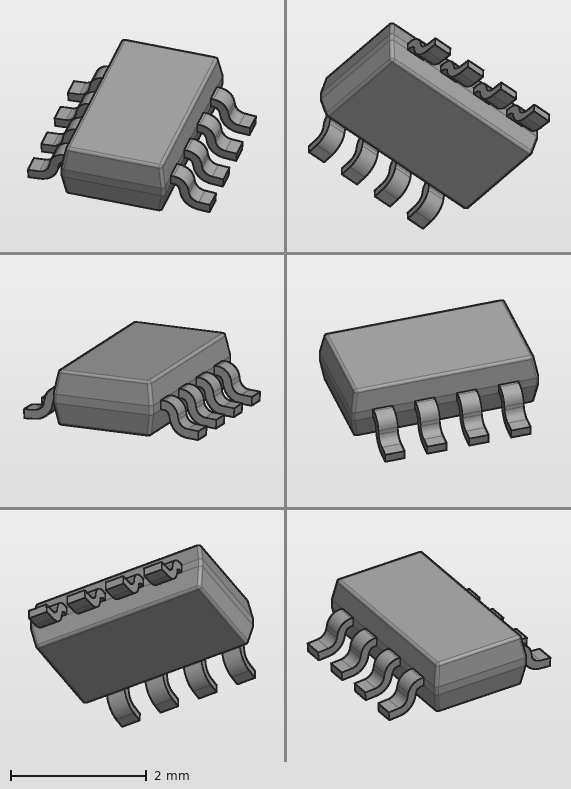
import cadquery as cq
import math

BODY_LENGTH = 2.9
BODY_WIDTH = 1.6
BAND_HEIGHT = 0.14
HALF_HEIGHT = 0.357
DRAFT_ANGLE = 10.0
EDGE_RADIUS = 0.05

LEADS_PER_SIDE = 4
LEAD_PITCH = 0.65
LEAD_WIDTH = 0.3
LEAD_THICKNESS = BAND_HEIGHT
LEAD_SPAN = 2.82
STUB_LENGTH = 0.038
LEG_SLOPE = math.radians(80)
FOOT_SLOPE = math.radians(4)
SHOULDER_RADIUS = 0.1
ANKLE_RADIUS = 0.162
LEG_LENGTH = 0.06


def drafted_half():
    """The sharp-edged half of the body above the band."""
    return (
        cq.Workplane("XY", origin=(0, 0, BAND_HEIGHT / 2))
        .rect(BODY_WIDTH, BODY_LENGTH)
        .extrude(HALF_HEIGHT, taper=DRAFT_ANGLE)
    )


def make_body():
    """Band and two drafted halves in one solid, with upright corners and both rims rounded."""
    band = cq.Workplane("XY").box(BODY_WIDTH, BODY_LENGTH, BAND_HEIGHT)
    body = band.union(drafted_half()).union(drafted_half().mirror("XY"))
    body = body.edges("not(#Z)").fillet(EDGE_RADIUS)
    return body.faces("<Z or >Z").edges().fillet(EDGE_RADIUS)


def ahead(point, slope, distance):
    """Point reached by going outward along a line that falls at the given slope."""
    return (point[0] + distance * math.cos(slope), point[1] - distance * math.sin(slope))


def around(centre, radius, slope):
    """Point on a circle where a line falling at the given slope touches its upper side."""
    return (centre[0] + radius * math.sin(slope), centre[1] + radius * math.cos(slope))


def make_lead(y):
    """One lead on the +X side, centred on y: a strip swept along its centreline in XZ."""
    shoulder = SHOULDER_RADIUS + LEAD_THICKNESS / 2
    ankle = ANKLE_RADIUS + LEAD_THICKNESS / 2

    root = (BODY_WIDTH / 2, 0)
    stub_end = (BODY_WIDTH / 2 + STUB_LENGTH, 0)
    shoulder_centre = (stub_end[0], -shoulder)
    leg_top = around(shoulder_centre, shoulder, LEG_SLOPE)
    leg_bottom = ahead(leg_top, LEG_SLOPE, LEG_LENGTH)
    ankle_centre = around(leg_bottom, ankle, LEG_SLOPE)
    foot_start = around(ankle_centre, -ankle, FOOT_SLOPE)
    toe_x = LEAD_SPAN / 2 - LEAD_THICKNESS / 2 * math.sin(FOOT_SLOPE)
    toe = ahead(foot_start, FOOT_SLOPE, (toe_x - foot_start[0]) / math.cos(FOOT_SLOPE))

    centreline = (
        cq.Workplane("XZ", origin=(0, y, 0))
        .moveTo(*root)
        .lineTo(*stub_end)
        .threePointArc(around(shoulder_centre, shoulder, LEG_SLOPE / 2), leg_top)
        .lineTo(*leg_bottom)
        .threePointArc(around(ankle_centre, -ankle, (LEG_SLOPE + FOOT_SLOPE) / 2), foot_start)
        .lineTo(*toe)
    )
    strip = cq.Workplane("YZ", origin=(BODY_WIDTH / 2, y, 0)).rect(LEAD_WIDTH, LEAD_THICKNESS)
    return strip.sweep(centreline)


body = make_body()

leads = []
for index in range(LEADS_PER_SIDE):
    lead_y = (index - (LEADS_PER_SIDE - 1) / 2) * LEAD_PITCH
    lead = make_lead(lead_y)
    leads.append(lead.val())
    leads.append(lead.mirror("YZ").val())

result = cq.Compound.makeCompound([body.val(), *leads])